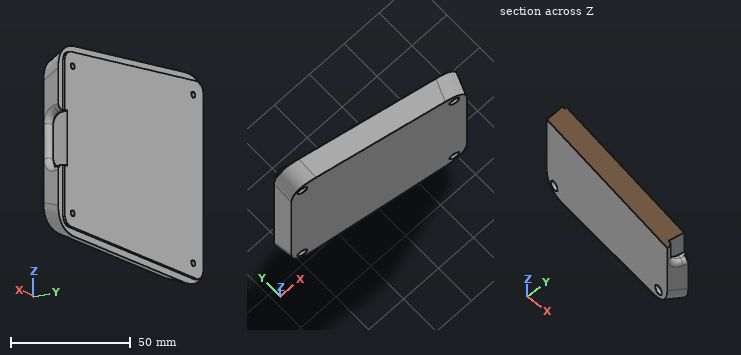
import cadquery as cq
import math

tilt_angle = 10.0

body_depth = 9.75
rim_length = 91.56
rim_left_height = 93.33
side_angle = 3.6

corner_radius = 11.6
corner_fullness = 0.67

front_left_inset = 2.3
front_right_inset = 1.58
front_side_inset = 3.5

lip_height = 1.11
lip_left_inset = 1.5
lip_right_inset = 2.95
lip_side_inset = 3.2
lip_corner_radius = 4.0

hole_left_u = 7.8
hole_right_u = 83.7
hole_left_w = 36.7
hole_right_w = 32.07
hole_diameter = 2.4
counterbore_diameter = 4.8
left_counterbore_depth = 4.7
right_counterbore_depth = 7.3

notch_width = 24.0
notch_corner_radius = 4.5
notch_reach = 4.5
notch_floor_thickness = 3.0
mouth_radius = 2.4

selection_gap = 0.1


def half_height(u):
    """Half height of the rim trapezoid at distance u from its left edge."""
    return rim_left_height / 2 - u * math.tan(math.radians(side_angle))


def inset_corners(left_inset, right_inset, side_inset):
    """Sharp corners of the rim trapezoid drawn in by the given amounts, counterclockwise."""
    left_u = left_inset
    right_u = rim_length - right_inset
    left_half = half_height(left_u) - side_inset
    right_half = half_height(right_u) - side_inset
    return [
        cq.Vector(left_u, -left_half),
        cq.Vector(right_u, -right_half),
        cq.Vector(right_u, right_half),
        cq.Vector(left_u, left_half),
    ]


def smooth_outline(corners, depth):
    """Closed outline whose corners are eased with Bezier curves tangent to the sides."""
    curves = []
    for index, corner in enumerate(corners):
        before = (corners[index - 1] - corner).normalized()
        after = (corners[(index + 1) % len(corners)] - corner).normalized()
        reach = corner_radius / math.tan(before.getAngle(after) / 2)
        handle = reach * (1 - corner_fullness)
        curve = [
            corner + before * reach,
            corner + before * handle,
            corner + after * handle,
            corner + after * reach,
        ]
        curves.append(curve)
    edges = []
    for index, curve in enumerate(curves):
        edges.append(cq.Edge.makeLine(curves[index - 1][-1], curve[0]))
        edges.append(cq.Edge.makeBezier(curve))
    return cq.Wire.assembleEdges(edges).translate(cq.Vector(0, 0, depth))


def make_body():
    """Plate whose walls slope in from the rim to the front face."""
    rim = smooth_outline(inset_corners(0, 0, 0), 0)
    front_corners = inset_corners(front_left_inset, front_right_inset, front_side_inset)
    front = smooth_outline(front_corners, body_depth)
    return cq.Workplane(obj=cq.Solid.makeLoft([rim, front], True))


def make_lip():
    """Low step standing on the back rim."""
    corners = inset_corners(lip_left_inset, lip_right_inset, lip_side_inset)
    return (
        cq.Workplane("XY")
        .polyline([(corner.x, corner.y) for corner in corners])
        .close()
        .extrude(-lip_height)
        .edges("|Z")
        .fillet(lip_corner_radius)
    )


def make_hole(u, w, counterbore_depth):
    """Stepped cutter for one screw hole, turned about its own axis."""
    bore = hole_diameter / 2
    counterbore = counterbore_diameter / 2
    step_top = body_depth - counterbore_depth
    step_bottom = step_top - (counterbore - bore)
    profile = [
        (0, -lip_height),
        (bore, -lip_height),
        (bore, step_bottom),
        (counterbore, step_top),
        (counterbore, body_depth),
        (0, body_depth),
    ]
    cutter = cq.Workplane("XZ").polyline(profile).close().revolve(360, (0, 0, 0), (0, 1, 0))
    return cutter.translate((u, w, 0))


def cut_notch(body):
    """Cut the notch in from the right and round its mouth where it meets the sloping wall."""
    notch_depth = body_depth - notch_floor_thickness
    cutter = (
        cq.Workplane("XY")
        .box(2 * notch_reach, notch_width, 2 * notch_depth)
        .edges("|X")
        .fillet(notch_corner_radius)
        .translate((rim_length, 0, 0))
    )
    notched = body.cut(cutter)
    mouth = cq.selectors.BoxSelector(
        (rim_length - front_right_inset, -notch_width, selection_gap),
        (rim_length, notch_width, body_depth - selection_gap),
    )
    return notched.edges(mouth).edges("not |X").fillet(mouth_radius)


cover = cut_notch(make_body().union(make_lip()))
for side in (-1, 1):
    cover = cover.cut(make_hole(hole_left_u, side * hole_left_w, left_counterbore_depth))
    cover = cover.cut(make_hole(hole_right_u, side * hole_right_w, right_counterbore_depth))

result = cover.rotate((0, 0, 0), (1, 0, 0), 90).rotate((0, 0, 0), (0, 0, 1), -tilt_angle)